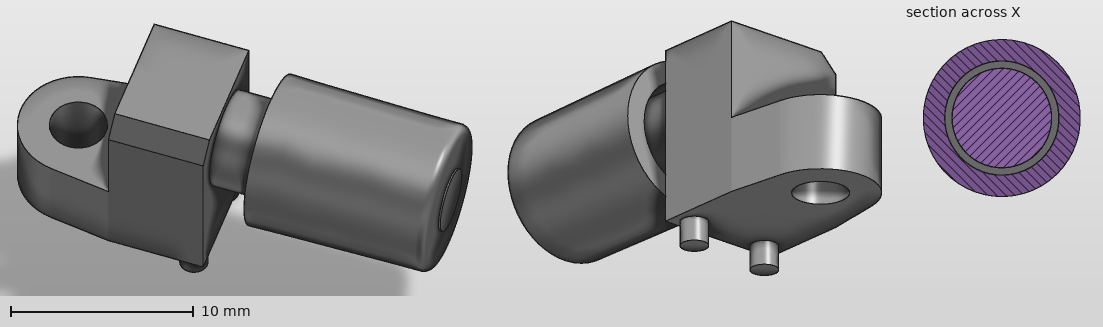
import cadquery as cq
import math

block_start = 6.4
block_end = 11.9
cap_start = 14.43
cap_end = 24.83
stem_end = 24.93

block_width = 7.58
block_height = 10.15
block_chamfer = 1.05
lug_height = 4.41
lug_radius = 3.35
lug_hole_diameter = 3.17

pin_diameter = 1.57
pin_length = 1.42
pin_x = 10.92
pin_spacing = 5.09

axis_height = 6.95
neck_diameter = 5.45
stem_diameter = 3.56
cap_start_diameter = 8.63
cap_end_diameter = 8.35
cap_fillet = 0.47
recess_diameter = 6.23
recess_depth = 3.0
recess_floor = cap_start + recess_depth


def cylinder_along_x(diameter, start, end):
    return (
        cq.Workplane("YZ", origin=(start, 0, axis_height))
        .circle(diameter / 2)
        .extrude(end - start)
    )


def make_lug():
    """Rounded lug whose straight sides run from the block corners tangent to the round end."""
    corner_y = block_width / 2
    corner_dx = block_start - lug_radius
    corner_distance = math.hypot(corner_dx, corner_y)
    tangent_angle = math.atan2(corner_y, corner_dx) + math.acos(lug_radius / corner_distance)
    tangent_x = lug_radius + lug_radius * math.cos(tangent_angle)
    tangent_y = lug_radius * math.sin(tangent_angle)
    return (
        cq.Workplane("XY")
        .moveTo(block_start, -corner_y)
        .lineTo(block_start, corner_y)
        .lineTo(tangent_x, tangent_y)
        .threePointArc((0, 0), (tangent_x, -tangent_y))
        .close()
        .extrude(lug_height)
        .cut(cq.Workplane("XY").center(lug_radius, 0).circle(lug_hole_diameter / 2).extrude(lug_height))
    )


def make_block():
    """Upright block with its upper -Y edge chamfered."""
    return (
        cq.Workplane("XY")
        .box(block_end - block_start, block_width, block_height, centered=(False, True, False))
        .translate((block_start, 0, 0))
        .edges("|X and >Z and <Y")
        .chamfer(block_chamfer)
    )


def make_locating_pins():
    return (
        cq.Workplane("XY")
        .pushPoints([(pin_x, side * pin_spacing / 2) for side in (-1, 1)])
        .circle(pin_diameter / 2)
        .extrude(-pin_length)
    )


def make_housing():
    """Lug, block, locating pins and the stepped stem that carries the cap."""
    neck = cylinder_along_x(neck_diameter, block_end, recess_floor)
    stem = cylinder_along_x(stem_diameter, recess_floor, stem_end)
    return make_block().union(make_lug()).union(make_locating_pins()).union(neck).union(stem)


def make_cap():
    """Tapered sleeve with a rounded outer end, a clearance recess round the neck and a stem bore."""
    tapered_body = (
        cq.Workplane("YZ", origin=(cap_start, 0, axis_height))
        .circle(cap_start_diameter / 2)
        .workplane(offset=cap_end - cap_start)
        .circle(cap_end_diameter / 2)
        .loft(ruled=True)
        .faces(">X")
        .edges()
        .fillet(cap_fillet)
    )
    recess = cylinder_along_x(recess_diameter, cap_start, recess_floor)
    stem_bore = cylinder_along_x(stem_diameter, recess_floor, cap_end)
    return tapered_body.cut(recess).cut(stem_bore)


housing = make_housing()
cap = make_cap()
result = cq.Compound.makeCompound([housing.solids().val(), cap.solids().val()])